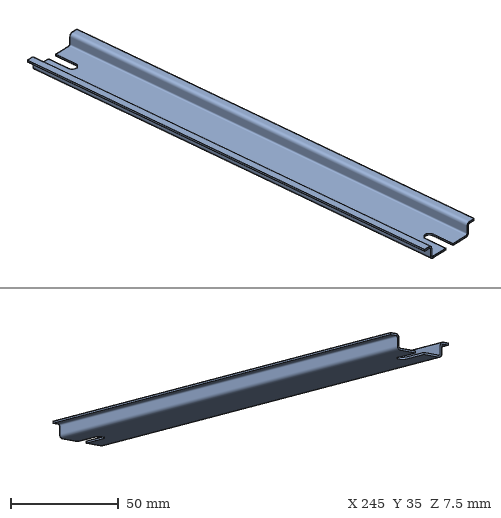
import cadquery as cq

length = 245.0
width = 35.0
height = 7.5

thickness = 1.0
channel_width = 27.0
inner_bend_radius = 0.8
outer_bend_radius = inner_bend_radius + thickness

slot_width = 5.1
slot_depth = 15.0


def box(size_y, bottom, top):
    """Full-length block centred on Y, between two heights."""
    return cq.Workplane("XY").box(length, size_y, top - bottom, centered=(True, True, False)).translate(
        (0, 0, bottom)
    )


def rail_body():
    """Channel with rounded floor corners and outward flanges along the top."""
    cavity_width = channel_width - 2 * thickness
    flange_bottom = height - thickness

    flanges = box(width, flange_bottom, height)
    channel = box(channel_width, 0, height).edges("|X and <Z").fillet(outer_bend_radius)

    solid = channel.union(flanges)
    under_flange = cq.selectors.BoxSelector(
        (-length, -channel_width / 2 - thickness / 2, flange_bottom - thickness / 2),
        (length, channel_width / 2 + thickness / 2, flange_bottom + thickness / 2),
    )
    solid = solid.edges("|X").edges(under_flange).fillet(inner_bend_radius)

    cavity = box(cavity_width, thickness, height).edges("|X and <Z").fillet(inner_bend_radius)
    solid = solid.cut(cavity)
    upper_bends = cq.selectors.BoxSelector(
        (-length, -cavity_width / 2 - thickness / 2, height - thickness / 2),
        (length, cavity_width / 2 + thickness / 2, height + thickness / 2),
    )
    return solid.edges("|X").edges(upper_bends).fillet(outer_bend_radius)


def end_slots():
    """Two round-tipped slots, each centred on an end of the rail."""
    return (
        cq.Workplane("XY")
        .pushPoints([(-length / 2, 0), (length / 2, 0)])
        .slot2D(2 * slot_depth, slot_width)
        .extrude(height)
    )


result = rail_body().cut(end_slots())